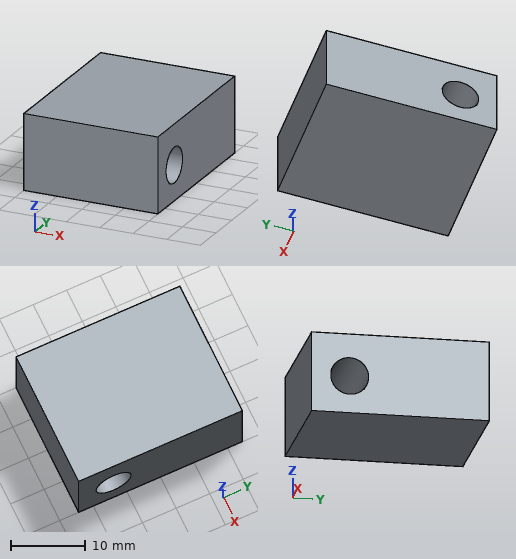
import cadquery as cq

width = 20.0
length = 24.4
height = 11.2

hole_diameter = 5.2
hole_from_front = 5.22
hole_from_bottom = 5.22

block = cq.Workplane("XY").box(width, length, height, centered=False)

cross_hole = (
    cq.Workplane("YZ")
    .center(hole_from_front, hole_from_bottom)
    .circle(hole_diameter / 2)
    .extrude(width)
)

result = block.cut(cross_hole)